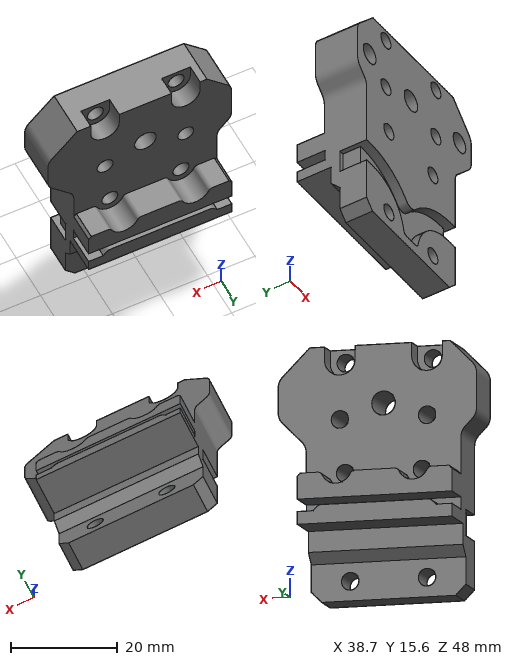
import cadquery as cq
import math

height = 48.0
plate_thickness = 9.5
total_depth = 15.6
half_width = 15.05

ear_axis_z = 38.25
left_ear_x = -18.15
right_ear_x = 20.55
left_ear_half_height = 4.55
right_ear_half_height = 3.55
ear_fillet = 3.0
foot_chamfer = 2.0

foot_thickness = 6.0
waist_thickness = 8.0
foot_step_z = 7.25

flange_bottom = 13.25
flange_top = 23.0
flange_end_chamfer = 0.6
slit_bottom = 15.7
slit_top = 18.05
slit_floor_y = 9.3
land_height = 1.05
land_half_length = 12.0
land_shoulder_radius = 1.15

screw_diameter = 3.35
head_diameter = 6.0
head_depth = 4.0
wide_spacing = 17.0
narrow_spacing = 15.0
top_hole_z = 45.5
upper_hole_z = 34.05
middle_hole_z = 23.7
foot_hole_z = 3.75
head_lip_fillet = 1.0

center_hole_diameter = 4.55
center_hole_z = 36.7

pin_diameter = 4.25
pin_depth = 6.0
pin_xs = (-14.0, 16.5)

groove_top = 16.25
groove_side_bottom = 11.3
groove_floor = 2.1
groove_depth = 2.0
upper_arc_radius = 16.15
upper_arc_x = 13.55
lower_arc_radius = 10.3
lower_arc_x = 12.6
groove_tip_fillet = 2.0
groove_floor_fillet = 1.0
side_slot_width = 1.0


def prism_y(outline, start, end):
    """Extrude a closed XZ outline from Y = start to Y = end."""
    return outline.extrude(start - end).translate((0, start, 0))


def cylinder_y(x, z, diameter, start, end):
    """Cylinder along Y, centred on (x, z)."""
    circle = cq.Workplane("XZ").center(x, z).circle(diameter / 2)
    return prism_y(circle, start, end)


def box_between(low, high):
    """Axis-aligned box between two opposite corners."""
    size = [b - a for a, b in zip(low, high)]
    return cq.Workplane("XY").box(*size, centered=False).translate(low)


def make_plate():
    """Front outline with 45-degree corners, trimmed by the stepped side profile."""
    left_top = ear_axis_z + left_ear_half_height
    left_bottom = ear_axis_z - left_ear_half_height
    right_top = ear_axis_z + right_ear_half_height
    right_bottom = ear_axis_z - right_ear_half_height
    left_neck = (-half_width, left_bottom - (-half_width - left_ear_x))
    right_neck = (half_width, right_bottom - (right_ear_x - half_width))
    left_ear = [(left_ear_x, left_bottom), (left_ear_x, left_top)]
    right_ear = [(right_ear_x, right_top), (right_ear_x, right_bottom)]
    outline = [
        (-half_width + foot_chamfer, 0),
        (-half_width, foot_chamfer),
        left_neck,
        *left_ear,
        (left_ear_x + height - left_top, height),
        (right_ear_x - (height - right_top), height),
        *right_ear,
        right_neck,
        (half_width, foot_chamfer),
        (half_width - foot_chamfer, 0),
    ]
    plate = prism_y(cq.Workplane("XZ").polyline(outline).close(), 0, plate_thickness)
    for x, z in [left_neck, *left_ear, *right_ear, right_neck]:
        corner = cq.selectors.NearestToPointSelector((x, plate_thickness / 2, z))
        plate = plate.edges(corner).fillet(ear_fillet)

    side_profile = [
        (0, 0),
        (foot_thickness, 0),
        (foot_thickness, foot_step_z),
        (waist_thickness, foot_step_z + waist_thickness - foot_thickness),
        (waist_thickness, flange_bottom),
        (plate_thickness, flange_bottom),
        (plate_thickness, height),
        (0, height),
    ]
    span = right_ear_x - left_ear_x
    side = cq.Workplane("YZ").polyline(side_profile).close().extrude(span)
    return plate.intersect(side.translate((left_ear_x, 0, 0)))


def make_flange():
    """Block on the back with chamfered upper ends and screw-head reliefs in its top."""
    flange = box_between(
        (-half_width, waist_thickness, flange_bottom),
        (half_width, total_depth, flange_top),
    )
    flange = flange.faces(">Z").edges("<X or >X").chamfer(flange_end_chamfer)
    for x in (-narrow_spacing / 2, narrow_spacing / 2):
        relief = cylinder_y(x, middle_hole_z, head_diameter, plate_thickness, total_depth)
        flange = flange.cut(relief)
        lip_offset = math.sqrt((head_diameter / 2) ** 2 - (middle_hole_z - flange_top) ** 2)
        lip_y = (plate_thickness + total_depth) / 2
        for lip_x in (x - lip_offset, x + lip_offset):
            lip = cq.selectors.NearestToPointSelector((lip_x, lip_y, flange_top))
            flange = flange.edges(lip).fillet(head_lip_fillet)
    return flange


def make_slit():
    """Belt slit through the flange, narrowed by a raised land with sloping, rounded ends."""
    slit = box_between(
        (-half_width, slit_floor_y, slit_bottom),
        (half_width, total_depth, slit_top),
    )
    land_outline = [
        (-land_half_length, slit_bottom),
        (-land_half_length + land_height, slit_bottom + land_height),
        (land_half_length - land_height, slit_bottom + land_height),
        (land_half_length, slit_bottom),
    ]
    land = prism_y(cq.Workplane("XZ").polyline(land_outline).close(), slit_floor_y, total_depth)
    land = land.faces(">Z").edges("<X or >X").fillet(land_shoulder_radius)
    return slit.cut(land)


def make_groove():
    """Shallow V groove bounded by two pairs of arcs, with a deeper slot at each side."""
    upper_center_z = groove_top - upper_arc_radius
    lower_center_z = groove_side_bottom - lower_arc_radius
    tip_z = upper_center_z + math.sqrt(upper_arc_radius ** 2 - upper_arc_x ** 2)
    floor_reach = math.sqrt(lower_arc_radius ** 2 - (groove_floor - lower_center_z) ** 2)
    floor_half = lower_arc_x - floor_reach

    upper_half_angle = math.asin(upper_arc_x / upper_arc_radius) / 2
    upper_mid_x = upper_arc_x - upper_arc_radius * math.sin(upper_half_angle)
    upper_mid_z = upper_center_z + upper_arc_radius * math.cos(upper_half_angle)
    lower_half_angle = math.acos((groove_floor - lower_center_z) / lower_arc_radius) / 2
    lower_mid_x = lower_arc_x - lower_arc_radius * math.sin(lower_half_angle)
    lower_mid_z = lower_center_z + lower_arc_radius * math.cos(lower_half_angle)

    outline = (
        cq.Workplane("XZ")
        .moveTo(-half_width, groove_top)
        .lineTo(-upper_arc_x, groove_top)
        .threePointArc((-upper_mid_x, upper_mid_z), (0, tip_z))
        .threePointArc((upper_mid_x, upper_mid_z), (upper_arc_x, groove_top))
        .lineTo(half_width, groove_top)
        .lineTo(half_width, groove_side_bottom)
        .lineTo(lower_arc_x, groove_side_bottom)
        .threePointArc((lower_mid_x, lower_mid_z), (floor_half, groove_floor))
        .lineTo(-floor_half, groove_floor)
        .threePointArc((-lower_mid_x, lower_mid_z), (-lower_arc_x, groove_side_bottom))
        .lineTo(-half_width, groove_side_bottom)
        .close()
    )
    groove = prism_y(outline, 0, groove_depth)
    rounded_corners = [
        (0, tip_z, groove_tip_fillet),
        (-floor_half, groove_floor, groove_floor_fillet),
        (floor_half, groove_floor, groove_floor_fillet),
    ]
    for x, z, radius in rounded_corners:
        corner = cq.selectors.NearestToPointSelector((x, groove_depth / 2, z))
        groove = groove.edges(corner).fillet(radius)
    for x in (-half_width, half_width - side_slot_width):
        slot = box_between(
            (x, 0, groove_side_bottom),
            (x + side_slot_width, foot_thickness, groove_top),
        )
        groove = groove.union(slot)
    return groove


def drill_holes(body):
    """Through screw holes, blind pin holes and the open screw-head recesses at the top."""
    screw_rows = [
        (wide_spacing, top_hole_z),
        (wide_spacing, upper_hole_z),
        (narrow_spacing, middle_hole_z),
        (narrow_spacing, foot_hole_z),
    ]
    for spacing, z in screw_rows:
        for x in (-spacing / 2, spacing / 2):
            body = body.cut(cylinder_y(x, z, screw_diameter, 0, total_depth))

    body = body.cut(cylinder_y(0, center_hole_z, center_hole_diameter, 0, total_depth))
    for x in pin_xs:
        body = body.cut(cylinder_y(x, ear_axis_z, pin_diameter, 0, pin_depth))

    recess_floor = plate_thickness - head_depth
    for x in (-wide_spacing / 2, wide_spacing / 2):
        recess = cylinder_y(x, top_hole_z, head_diameter, recess_floor, plate_thickness)
        opening = box_between(
            (x - head_diameter / 2, recess_floor, top_hole_z),
            (x + head_diameter / 2, plate_thickness, height),
        )
        body = body.cut(recess).cut(opening)
    return body


body = make_plate().union(make_flange()).cut(make_slit()).cut(make_groove())
result = drill_holes(body)